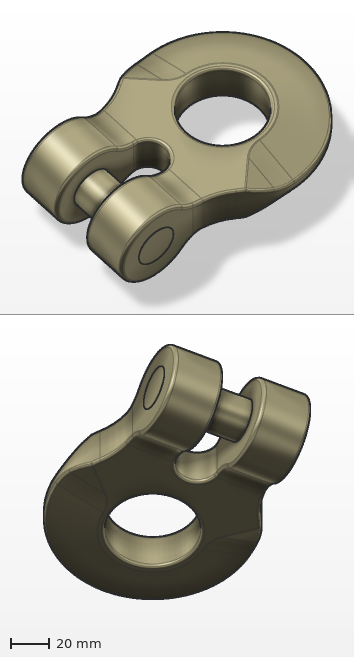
import cadquery as cq
import math

ring_radius = 57.0
bore_diameter = 50.0
plate_thickness = 24.0
rim_thickness = 6.5
cone_start_radius = 29.0
edge_radius = 2.0

fork_width = 80.0
slot_width = 23.0
slot_end_y = -40.2
neck_radius = 42.1
knuckle_diameter = 50.0
knuckle_tip_y = -104.9
knuckle_blend_radius = 19.5

runout_arc_radius = 17.0
runout_angle = math.radians(45)
runout_end_x = 64.8
runout_length = 51.8

pin_diameter = 24.0
pin_offset = 0.8

half_plate = plate_thickness / 2
half_fork = fork_width / 2
knuckle_radius = knuckle_diameter / 2
knuckle_y = knuckle_tip_y + knuckle_radius
pin_y = knuckle_y - pin_offset
bevel_slope = (half_plate - rim_thickness / 2) / (ring_radius - cone_start_radius)

clearance = 8.1
tolerance = 0.002


def make_outline():
    """Ring blended by two concave necks into the straight sides of the fork, as a tall prism."""
    centre_distance = ring_radius + neck_radius
    neck_x = half_fork + neck_radius
    neck_y = -math.sqrt(centre_distance**2 - neck_x**2)
    tangent_x = neck_x * ring_radius / centre_distance
    tangent_y = neck_y * ring_radius / centre_distance
    half_turn = math.atan2(-neck_y, neck_x) / 2
    neck_mid_x = neck_x - neck_radius * math.cos(half_turn)
    neck_mid_y = neck_y + neck_radius * math.sin(half_turn)
    return (
        cq.Workplane("XY")
        .moveTo(half_fork, knuckle_tip_y - clearance)
        .lineTo(half_fork, neck_y)
        .threePointArc((neck_mid_x, neck_mid_y), (tangent_x, tangent_y))
        .threePointArc((0, ring_radius), (-tangent_x, tangent_y))
        .threePointArc((-neck_mid_x, neck_mid_y), (-half_fork, neck_y))
        .lineTo(-half_fork, knuckle_tip_y - clearance)
        .close()
        .extrude(knuckle_radius + clearance, both=True)
    )


def make_side_profile():
    """Flat plate blended by two concave arcs into the round knuckle, as a wide prism along X."""
    centre_distance = knuckle_radius + knuckle_blend_radius
    blend_z = half_plate + knuckle_blend_radius
    blend_offset = math.sqrt(centre_distance**2 - blend_z**2)
    blend_y = knuckle_y + blend_offset
    tangent_y = knuckle_y + blend_offset * knuckle_radius / centre_distance
    tangent_z = blend_z * knuckle_radius / centre_distance
    half_turn = math.atan2(blend_offset, blend_z) / 2
    blend_mid_y = blend_y - knuckle_blend_radius * math.sin(half_turn)
    blend_mid_z = blend_z - knuckle_blend_radius * math.cos(half_turn)
    return (
        cq.Workplane("YZ")
        .moveTo(ring_radius + clearance, half_plate)
        .lineTo(blend_y, half_plate)
        .threePointArc((blend_mid_y, blend_mid_z), (tangent_y, tangent_z))
        .threePointArc((knuckle_tip_y, 0), (tangent_y, -tangent_z))
        .threePointArc((blend_mid_y, -blend_mid_z), (blend_y, -half_plate))
        .lineTo(ring_radius + clearance, -half_plate)
        .close()
        .extrude(ring_radius + clearance, both=True)
    )


def make_cone_cutter():
    """Material above the conical bevel on the +Y half of the ring."""
    outer_radius = ring_radius + clearance
    outer_z = half_plate - bevel_slope * (outer_radius - cone_start_radius)
    return (
        cq.Workplane("XZ")
        .moveTo(cone_start_radius, half_plate)
        .lineTo(outer_radius, outer_z)
        .lineTo(outer_radius, half_plate + clearance)
        .lineTo(cone_start_radius, half_plate + clearance)
        .close()
        .revolve(180, (0, 0), (0, 1))
    )


def make_runout_cutter():
    """Material above the bevel run-out at +X: the edge of the flat face swept down the bevel slope."""
    arc_centre_x = cone_start_radius + runout_arc_radius

    def arc_point(angle):
        return (arc_centre_x - runout_arc_radius * math.cos(angle), -runout_arc_radius * math.sin(angle))

    line_start = arc_point(runout_angle)
    line_end_y = line_start[1] - (runout_end_x - line_start[0]) / math.tan(runout_angle)
    edge = (
        cq.Workplane("XY")
        .workplane(offset=half_plate)
        .moveTo(cone_start_radius, 0)
        .threePointArc(arc_point(runout_angle / 2), line_start)
        .lineTo(runout_end_x, line_end_y)
        .lineTo(runout_end_x, 0)
        .close()
        .wire()
        .val()
    )
    slope_direction = cq.Vector(runout_length, 0, -bevel_slope * runout_length)
    return cq.Workplane(cq.Solid.extrudeLinear(edge, [], slope_direction))


def make_slot():
    """Fork slot with a round end, open toward -Y."""
    slot_centre_y = slot_end_y - slot_width / 2
    return (
        cq.Workplane("XY")
        .moveTo(slot_width / 2, knuckle_tip_y - 2 * clearance)
        .lineTo(slot_width / 2, slot_centre_y)
        .threePointArc((0, slot_end_y), (-slot_width / 2, slot_centre_y))
        .lineTo(-slot_width / 2, knuckle_tip_y - 2 * clearance)
        .close()
        .extrude(knuckle_diameter, both=True)
    )


def make_bore():
    """Round hole through the ring."""
    return cq.Workplane("XY").circle(bore_diameter / 2).extrude(plate_thickness, both=True)


def make_pin():
    """Plain pin, flush with both outer sides of the fork."""
    return cq.Workplane("YZ", origin=(-half_fork, pin_y, 0)).circle(pin_diameter / 2).extrude(fork_width)


def is_on_wall(edge, plan):
    """True where the middle of an edge lies on an upright wall of the plan prism."""
    middle = cq.Vertex.makeVertex(*edge.positionAt(0.5).toTuple())
    return any(wall.distance(middle) < tolerance for wall in plan.faces("not |Z").vals())


def round_edges(body, plan):
    """Round the rims of all upright walls and the creases where the flat faces meet the bevels."""
    rims = [edge for edge in body.edges("not |Z").vals() if is_on_wall(edge, plan)]
    flat_face_edges = body.faces("|Z").edges("not |X").vals()
    creases = [edge for edge in flat_face_edges if not is_on_wall(edge, plan)]
    return body.newObject(rims + creases).fillet(edge_radius)


def make_link():
    """Ring with a conical bevel on both faces, and a fork with two round knuckles for the pin."""
    plan = make_outline().cut(make_bore()).cut(make_slot())
    body = plan.intersect(make_side_profile())
    for cutter in (make_cone_cutter(), make_runout_cutter(), make_runout_cutter().mirror("YZ")):
        body = body.cut(cutter).cut(cutter.mirror("XY"))
    return round_edges(body, plan).cut(make_pin())


link = make_link()
pin = make_pin()

result = cq.Compound.makeCompound([link.val(), pin.val()])